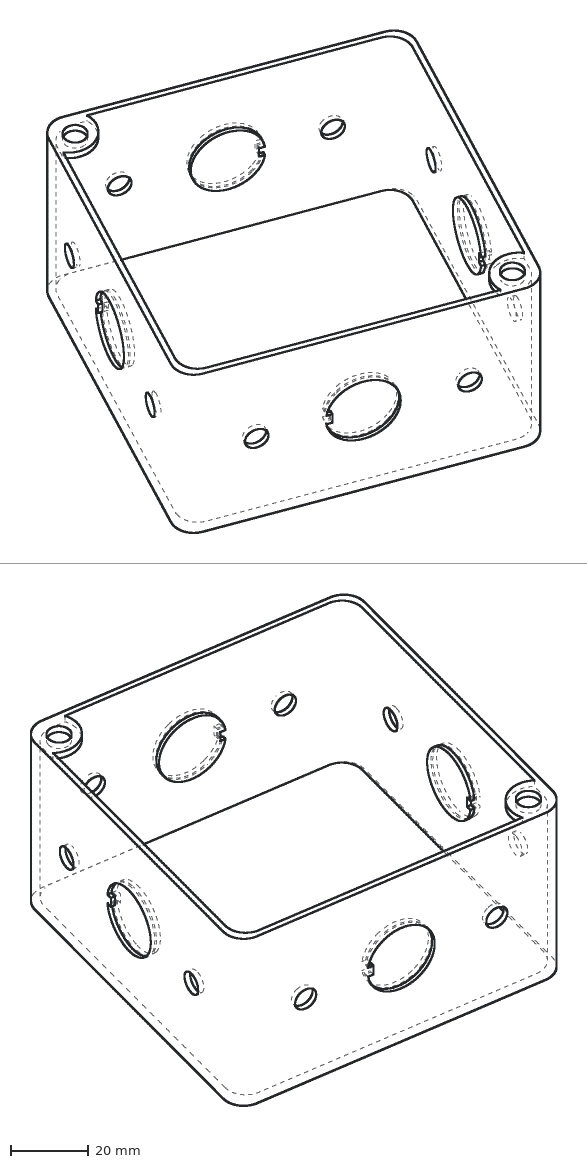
import cadquery as cq

side = 101.6
height = 57.1
wall = 1.7
floor_thickness = wall
corner_radius = 6.3

ear_thickness = 2.0
ear_radius = 7.7
ear_inset = 5.7
ear_hole_inset = 7.0
hole_diameter = 6.5

side_hole_offset = 29.5
knockout_diameter = 20.6
knockout_shift = 1.2
notch_width = 3.0
notch_depth = 1.7

half_side = side / 2
mid_height = height / 2
inner_side = side - 2 * wall


def rounded_block(width, radius, bottom, block_height):
    """Square block with rounded vertical edges."""
    block = cq.Workplane("XY").workplane(offset=bottom).rect(width, width).extrude(block_height)
    return block.edges("|Z").fillet(radius)


def make_shell():
    """Open-topped box; the inner corners have the same radius as the outer ones."""
    outside = rounded_block(side, corner_radius, 0, height)
    inside = rounded_block(inner_side, corner_radius, floor_thickness, height - floor_thickness)
    return outside.cut(inside)


def make_ears():
    """Two flat ears, trimmed to the outline of the box."""
    ear_centre = half_side - ear_inset
    ears = (
        cq.Workplane("XY").workplane(offset=height - ear_thickness)
        .pushPoints([(ear_centre, ear_centre), (-ear_centre, -ear_centre)])
        .circle(ear_radius).extrude(ear_thickness)
    )
    return ears.intersect(rounded_block(side, corner_radius, 0, height))


def make_ear_holes():
    """Screw holes through the ears, slightly nearer the middle than the ear centres."""
    hole_centre = half_side - ear_hole_inset
    return (
        cq.Workplane("XY").workplane(offset=height - ear_thickness)
        .pushPoints([(hole_centre, hole_centre), (-hole_centre, -hole_centre)])
        .circle(hole_diameter / 2).extrude(ear_thickness)
    )


def front_plane(depth):
    """Outward-facing plane at mid height, a depth behind the outer face of the -Y wall."""
    origin = (0, depth - half_side, mid_height)
    return cq.Plane(origin=origin, xDir=(1, 0, 0), normal=(0, -1, 0))


def knockout_disc(depth, thickness):
    """Notched disc in the -Y wall, starting at a depth below the outer face."""
    plane = front_plane(depth)
    disc = cq.Workplane(plane).circle(knockout_diameter / 2).extrude(-thickness)
    notch = (
        cq.Workplane(plane).center(-knockout_diameter / 2, 0)
        .rect(2 * notch_depth, notch_width).extrude(-thickness)
    )
    return disc.cut(notch)


def make_wall_holes():
    """Pair of round holes through the -Y wall."""
    plane = front_plane(0)
    return (
        cq.Workplane(plane)
        .pushPoints([(-side_hole_offset, 0), (side_hole_offset, 0)])
        .circle(hole_diameter / 2).extrude(-wall)
    )


result = make_shell().union(make_ears()).cut(make_ear_holes())

wall_holes = make_wall_holes()
knockout_recess = knockout_disc(0, knockout_shift)
knockout_boss = knockout_disc(knockout_shift, wall)
for angle in (0, 90, 180, 270):
    axis = ((0, 0, 0), (0, 0, 1), angle)
    result = (
        result.cut(wall_holes.rotate(*axis))
        .cut(knockout_recess.rotate(*axis))
        .union(knockout_boss.rotate(*axis))
    )